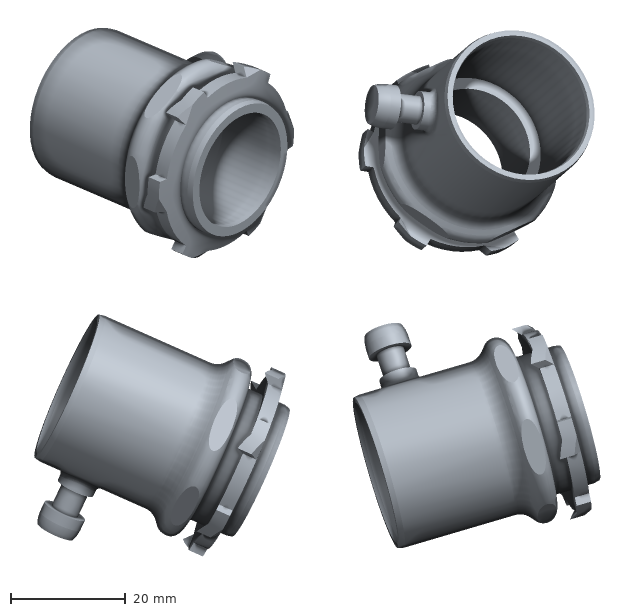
import cadquery as cq
import math

LENGTH = 37.2
SOCKET_OUTER_R = 27.9 / 2
SOCKET_BORE_R = 25.1 / 2
NECK_R = 25.0 / 2
THROUGH_BORE_R = 21.1 / 2
SOCKET_DEPTH = 23.55
END_TAPER_LENGTH = 1.0
END_TAPER_RISE = 0.2
NECK_TAPER_RISE = 0.25
MOUTH_CHAMFER_DEPTH = 0.75
MOUTH_CHAMFER_RISE = 0.2

COLLAR_X = 26.32
COLLAR_R = 16.8
COLLAR_ROUND_R = 2.23
COLLAR_FLAT_APOTHEM = 16.02
FLARE_ANGLE = 50.0
FLARE_ROUND_R = 3.57
NECK_FILLET_R = 1.05

NUT_FRONT_X = 31.5
NUT_THICKNESS = 2.65
NUT_R = 16.0
LUG_R = 17.55
LUG_HALF_WIDTH = 3.25
DISH_SLOPE = 0.1
TOOTH_HEIGHT = 1.35
NUT_INNER_R = NECK_R - 0.4

SCREW_X = 8.95
BOSS_R = 6.8 / 2
BOSS_TOP_Y = 16.0
BOSS_FILLET_R = 1.0
SHANK_R = 5.0 / 2
HEAD_R = 7.8 / 2
HEAD_TOP_R = 3.45
HEAD_BASE_Y = 20.48
HEAD_RIM_Y = 22.4
HEAD_TOP_Y = 42.05 - LUG_R
HEAD_BULGE = 0.13

REPEATS = 6
REPEAT_ANGLE = 360 / REPEATS


def revolve_about_x(profile):
    return profile.close().revolve(360, (0, 0, 0), (1, 0, 0))


def around_x(shape, index):
    return shape.rotate((0, 0, 0), (1, 0, 0), index * REPEAT_ANGLE)


def arc_point(center_x, center_r, radius, angle):
    """Point on a profile arc, with the angle measured from +X towards larger radius."""
    a = math.radians(angle)
    return (center_x + radius * math.cos(a), center_r + radius * math.sin(a))


def make_outer_body():
    round_r = COLLAR_R - COLLAR_ROUND_R
    collar_start = arc_point(COLLAR_X, round_r, COLLAR_ROUND_R, 90 + FLARE_ANGLE)
    collar_mid = arc_point(COLLAR_X, round_r, COLLAR_ROUND_R, 45 + FLARE_ANGLE / 2)
    collar_end_x = COLLAR_X + COLLAR_ROUND_R

    flare = math.radians(FLARE_ANGLE)
    flare_end_r = SOCKET_OUTER_R + FLARE_ROUND_R * (1 - math.cos(flare))
    flare_end_x = collar_start[0] - (collar_start[1] - flare_end_r) / math.tan(flare)
    flare_start_x = flare_end_x - FLARE_ROUND_R * math.sin(flare)
    flare_center_r = SOCKET_OUTER_R + FLARE_ROUND_R
    flare_mid = arc_point(flare_start_x, flare_center_r, FLARE_ROUND_R, FLARE_ANGLE / 2 - 90)

    fillet_end_x = collar_end_x + NECK_FILLET_R
    fillet_center_r = NECK_R + NECK_FILLET_R
    fillet_mid = arc_point(fillet_end_x, fillet_center_r, NECK_FILLET_R, 225)

    profile = (
        cq.Workplane("XY")
        .moveTo(0, 0)
        .lineTo(0, SOCKET_OUTER_R - END_TAPER_RISE)
        .lineTo(END_TAPER_LENGTH, SOCKET_OUTER_R)
        .lineTo(flare_start_x, SOCKET_OUTER_R)
        .threePointArc(flare_mid, (flare_end_x, flare_end_r))
        .lineTo(*collar_start)
        .threePointArc(collar_mid, (collar_end_x, round_r))
        .lineTo(collar_end_x, fillet_center_r)
        .threePointArc(fillet_mid, (fillet_end_x, NECK_R))
        .lineTo(LENGTH - END_TAPER_LENGTH, NECK_R)
        .lineTo(LENGTH, NECK_R - NECK_TAPER_RISE)
        .lineTo(LENGTH, 0)
    )
    hexagon = (
        cq.Workplane("YZ")
        .polygon(REPEATS, 2 * COLLAR_FLAT_APOTHEM, circumscribed=True)
        .extrude(LENGTH)
    )
    return revolve_about_x(profile).intersect(hexagon)


def make_bore():
    profile = (
        cq.Workplane("XY")
        .moveTo(0, 0)
        .lineTo(0, SOCKET_BORE_R + MOUTH_CHAMFER_RISE)
        .lineTo(MOUTH_CHAMFER_DEPTH, SOCKET_BORE_R)
        .lineTo(SOCKET_DEPTH, SOCKET_BORE_R)
        .lineTo(SOCKET_DEPTH, THROUGH_BORE_R)
        .lineTo(LENGTH, THROUGH_BORE_R)
        .lineTo(LENGTH, 0)
    )
    return revolve_about_x(profile)


def nut_front_x(radius):
    return NUT_FRONT_X - DISH_SLOPE * (radius - NUT_R)


def make_dished_ring(outer_r):
    inner_x = nut_front_x(NUT_INNER_R)
    outer_x = nut_front_x(outer_r)
    profile = (
        cq.Workplane("XY")
        .moveTo(inner_x, NUT_INNER_R)
        .lineTo(outer_x, outer_r)
        .lineTo(outer_x + NUT_THICKNESS, outer_r)
        .lineTo(inner_x + NUT_THICKNESS, NUT_INNER_R)
    )
    return revolve_about_x(profile)


def make_lug():
    """Lug on the -Y side with its -Z corner bent towards -X."""
    plan = (
        cq.Workplane("YZ")
        .circle(LUG_R)
        .extrude(LENGTH)
        .intersect(
            cq.Workplane("YZ")
            .center(-(NECK_R + LUG_R) / 2, 0)
            .rect(LUG_R - NECK_R, 2 * LUG_HALF_WIDTH)
            .extrude(LENGTH)
        )
    )
    root_y = -math.sqrt(NUT_R**2 - LUG_HALF_WIDTH**2)
    corner_y = -math.sqrt(LUG_R**2 - LUG_HALF_WIDTH**2)
    root = cq.Vector(nut_front_x(NUT_R), root_y, -LUG_HALF_WIDTH)
    crease = cq.Vector(nut_front_x(LUG_R), -LUG_R, 0) - root
    crease_width = math.hypot(crease.y, crease.z)
    corner_distance = (root_y - corner_y) * LUG_HALF_WIDTH / crease_width
    bend_slope = TOOTH_HEIGHT / corner_distance
    reach = 2 * corner_distance

    outward = cq.Vector(0, crease.y, crease.z).cross(cq.Vector(1, 0, 0)).normalized()
    if outward.y > 0:
        outward = outward * -1
    normal = cq.Vector(1, 0, 0).cross(outward)
    flat_section = cq.Plane(origin=root.toTuple(), xDir=(1, 0, 0), normal=normal.toTuple())
    beyond_crease = (
        cq.Workplane(flat_section)
        .center(0, reach / 2)
        .rect(LENGTH, reach)
        .extrude(2 * crease_width, both=True)
    )

    def bent_point(x_offset, distance):
        return root + cq.Vector(x_offset - bend_slope * distance, 0, 0) + outward * distance

    start = crease * -1
    outline = [
        bent_point(0, 0) + start,
        bent_point(NUT_THICKNESS, 0) + start,
        bent_point(NUT_THICKNESS, reach) + start,
        bent_point(0, reach) + start,
    ]
    face = cq.Face.makeFromWires(cq.Wire.makePolygon(outline, close=True))
    bent_slab = cq.Workplane(cq.Solid.extrudeLinear(face, crease * 3))

    flat_part = make_dished_ring(LUG_R).intersect(plan).cut(beyond_crease)
    return flat_part.union(bent_slab.intersect(plan))


def make_locknut():
    nut = make_dished_ring(NUT_R)
    lug = make_lug()
    for index in range(REPEATS):
        nut = nut.union(around_x(lug, index))
    return nut


def add_boss(body):
    boss = (
        cq.Workplane("XZ")
        .center(SCREW_X, 0)
        .circle(BOSS_R)
        .extrude(-BOSS_TOP_Y)
    )
    near_joint = cq.selectors.BoxSelector(
        (SCREW_X - 0.4, SOCKET_OUTER_R - 0.85, -BOSS_R - 0.4),
        (SCREW_X + 0.4, SOCKET_OUTER_R + 0.4, BOSS_R + 0.4),
    )
    return body.union(boss).edges(near_joint).fillet(BOSS_FILLET_R)


def make_screw():
    side_mid = (
        SCREW_X + (HEAD_R + HEAD_TOP_R) / 2 + HEAD_BULGE,
        (HEAD_RIM_Y + HEAD_TOP_Y) / 2,
    )
    return (
        cq.Workplane("XY")
        .moveTo(SCREW_X, SOCKET_OUTER_R)
        .lineTo(SCREW_X + SHANK_R, SOCKET_OUTER_R)
        .lineTo(SCREW_X + SHANK_R, HEAD_BASE_Y)
        .lineTo(SCREW_X + HEAD_R, HEAD_BASE_Y)
        .lineTo(SCREW_X + HEAD_R, HEAD_RIM_Y)
        .threePointArc(side_mid, (SCREW_X + HEAD_TOP_R, HEAD_TOP_Y))
        .lineTo(SCREW_X, HEAD_TOP_Y)
        .close()
        .revolve(360, (SCREW_X, 0, 0), (SCREW_X, 1, 0))
    )


body = add_boss(make_outer_body()).cut(make_bore())
result = body.union(make_screw()).union(make_locknut())